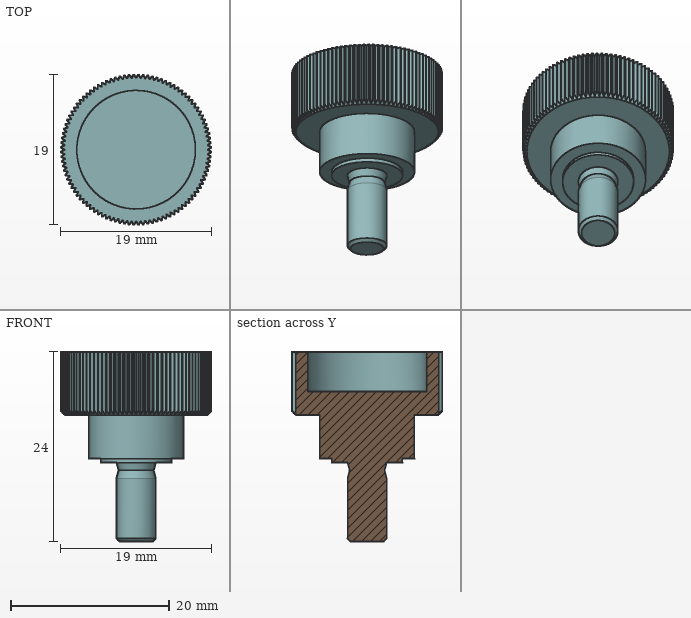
import cadquery as cq
import math

head_diameter = 19.0
head_height = 8.0
head_chamfer = 0.5
tooth_count = 100
tooth_depth = 0.43
groove_angle = 60.0
pocket_diameter = 15.0
pocket_depth = 5.0
boss_diameter = 12.0
boss_height = 5.5
collar_diameter = 9.0
collar_height = 0.5
stud_diameter = 5.0
stud_length = 10.0
stud_chamfer = 0.4
neck_length = 2.0
neck_cone_angle = 15.0

boss_bottom = collar_height
head_bottom = boss_bottom + boss_height
head_top = head_bottom + head_height
head_radius = head_diameter / 2
stud_radius = stud_diameter / 2
neck_depth = neck_length / 2 * math.tan(math.radians(neck_cone_angle))


def knurl_groove():
    """V groove cutter on the +X side; it widens past the rim so that it cuts fully through."""
    root_radius = head_radius - tooth_depth
    mouth_radius = head_radius + tooth_depth
    mouth_half_width = (mouth_radius - root_radius) * math.tan(math.radians(groove_angle / 2))
    return (
        cq.Workplane("XY")
        .moveTo(root_radius, 0)
        .lineTo(mouth_radius, mouth_half_width)
        .lineTo(mouth_radius, -mouth_half_width)
        .close()
        .extrude(head_height)
        .translate((0, 0, head_bottom))
        .val()
    )


def knurled_head():
    """Disc with a chamfered lower rim and a straight knurl that leaves narrow lands at the tips."""
    blank = (
        cq.Workplane("XY")
        .workplane(offset=head_bottom)
        .circle(head_radius)
        .extrude(head_height)
        .faces("<Z")
        .chamfer(head_chamfer)
    )
    groove = knurl_groove()
    grooves = []
    for tooth in range(tooth_count):
        angle = tooth * 360 / tooth_count
        grooves.append(groove.rotate(cq.Vector(0, 0, 0), cq.Vector(0, 0, 1), angle))
    return blank.cut(cq.Workplane(cq.Compound.makeCompound(grooves)))


def head_pocket():
    """Round blind recess, open at the top of the head."""
    return (
        cq.Workplane("XY")
        .workplane(offset=head_top - pocket_depth)
        .circle(pocket_diameter / 2)
        .extrude(pocket_depth)
    )


def stepped_shank():
    """Boss, collar, waisted neck of two cones and chamfered stud, revolved about Z."""
    boss_radius = boss_diameter / 2
    collar_radius = collar_diameter / 2
    return (
        cq.Workplane("XZ")
        .moveTo(0, head_bottom)
        .lineTo(boss_radius, head_bottom)
        .lineTo(boss_radius, boss_bottom)
        .lineTo(collar_radius, boss_bottom)
        .lineTo(collar_radius, 0)
        .lineTo(stud_radius, 0)
        .lineTo(stud_radius - neck_depth, -neck_length / 2)
        .lineTo(stud_radius, -neck_length)
        .lineTo(stud_radius, stud_chamfer - stud_length)
        .lineTo(stud_radius - stud_chamfer, -stud_length)
        .lineTo(0, -stud_length)
        .close()
        .revolve(360, (0, 0, 0), (0, 1, 0))
    )


result = knurled_head().cut(head_pocket()).union(stepped_shank())